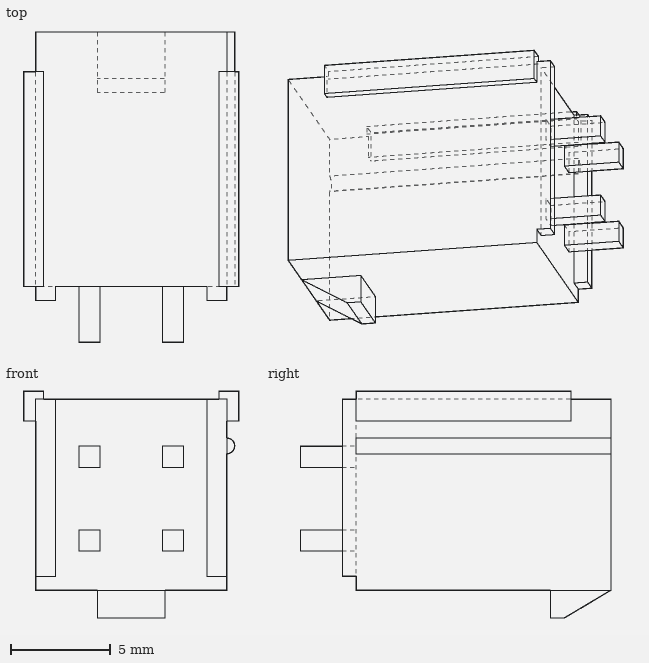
import cadquery as cq

body_width = 9.6
body_height = 9.6
body_length = 12.8
half_width = body_width / 2
top = body_height / 2
bottom = -body_height / 2

post_width = 1.0
post_depth = 0.7
post_bottom_gap = 0.7

rail_width = 1.0
rail_height = 1.5
rail_length = 10.8
rail_side_overhang = 0.6
rail_top_rise = 0.4

pin_size = 1.07
pin_pitch = 4.2
pin_pattern_drop = 0.2
pin_reach = post_depth + 2.1

latch_width = 3.4
latch_length = 3.05
latch_depth = 1.4
latch_flat = 0.7

key_radius = 0.4
key_drop = 2.35


def block(x_min, x_max, y_min, y_max, z_min, z_max):
    """Box given by its limits along each axis."""
    size = (x_max - x_min, y_max - y_min, z_max - z_min)
    return cq.Workplane("XY").box(*size, centered=False).translate((x_min, y_min, z_min))


def mirrored_pair(shape):
    """A shape together with its mirror image across the X = 0 plane."""
    return shape.union(shape.mirror("YZ"))


def make_body():
    return block(-half_width, half_width, 0, body_length, bottom, top)


def make_posts():
    post = block(
        half_width - post_width, half_width,
        -post_depth, post_depth,
        bottom + post_bottom_gap, top,
    )
    return mirrored_pair(post)


def make_rails():
    outer_side = half_width + rail_side_overhang
    rail_top = top + rail_top_rise
    rail = block(
        outer_side - rail_width, outer_side,
        0, rail_length,
        rail_top - rail_height, rail_top,
    )
    return mirrored_pair(rail)


def make_pins():
    return (
        cq.Workplane("XZ", origin=(0, pin_size, -pin_pattern_drop))
        .rarray(pin_pitch, pin_pitch, 2, 2)
        .rect(pin_size, pin_size)
        .extrude(pin_reach + pin_size)
    )


def make_latch():
    latch_heel = body_length - latch_length
    latch_bottom = bottom - latch_depth
    profile = [
        (body_length, bottom),
        (latch_heel + latch_flat, latch_bottom),
        (latch_heel, latch_bottom),
        (latch_heel, bottom),
    ]
    return cq.Workplane("YZ").polyline(profile).close().extrude(latch_width / 2, both=True)


def make_key():
    return (
        cq.Workplane("XZ", origin=(half_width, body_length, top - key_drop))
        .circle(key_radius)
        .extrude(body_length)
    )


result = (
    make_body()
    .union(make_posts())
    .union(make_rails())
    .union(make_pins())
    .union(make_latch())
    .union(make_key())
)